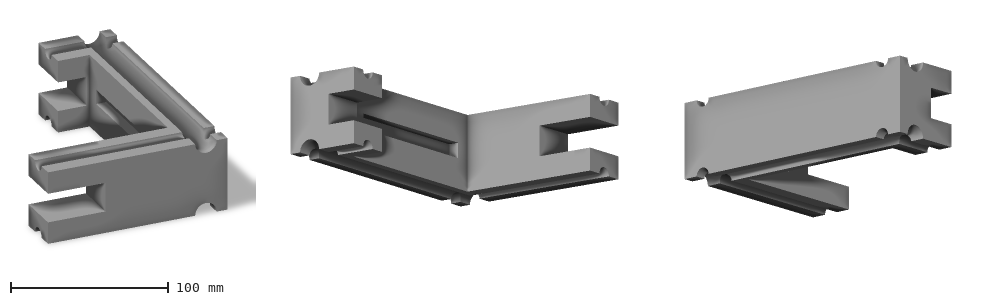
import cadquery as cq

LENGTH = 180.0
HEIGHT = 50.0
BAR_THICKNESS = 28.0
ARM_WIDTH = 30.0
SHORT_ARM_REACH = 50.0
LONG_ARM_REACH = 125.0

NOTCH_HEIGHT = 20.0
SHORT_NOTCH_DEPTH = 20.0
LONG_NOTCH_DEPTH = 40.0

BAR_GROOVE_RADIUS = 7.5
BAR_GROOVE_SETBACK = 15.0
ARM_GROOVE_RADIUS = 5.0

POCKET_LENGTH = 100.0
POCKET_HEIGHT = 10.0
POCKET_DEPTH = 7.0

LEFT_ARM_X = ARM_WIDTH / 2
RIGHT_ARM_X = LENGTH - ARM_WIDTH / 2
MID_HEIGHT = HEIGHT / 2


def make_block(x_center, y_front, size_x, size_y, size_z):
    """Block centred on x_center and mid height, reaching back from y_front."""
    block = cq.Workplane("XY").box(size_x, size_y, size_z, centered=(True, False, True))
    return block.translate((x_center, y_front, MID_HEIGHT))


def make_frame():
    """Back bar with a short arm on the left and a long arm on the right."""
    bar = make_block(LENGTH / 2, -BAR_THICKNESS, LENGTH, BAR_THICKNESS, HEIGHT)
    short_arm = make_block(LEFT_ARM_X, -SHORT_ARM_REACH, ARM_WIDTH, SHORT_ARM_REACH, HEIGHT)
    long_arm = make_block(RIGHT_ARM_X, -LONG_ARM_REACH, ARM_WIDTH, LONG_ARM_REACH, HEIGHT)
    return bar.union(short_arm).union(long_arm)


def cut_tip_notches(body):
    """Cut a notch across each arm, open at its tip."""
    short_notch = make_block(LEFT_ARM_X, -SHORT_ARM_REACH, ARM_WIDTH, SHORT_NOTCH_DEPTH, NOTCH_HEIGHT)
    long_notch = make_block(RIGHT_ARM_X, -LONG_ARM_REACH, ARM_WIDTH, LONG_NOTCH_DEPTH, NOTCH_HEIGHT)
    return body.cut(short_notch).cut(long_notch)


def cut_pocket(body):
    """Cut the blind pocket into the front face of the bar."""
    return body.cut(make_block(LENGTH / 2, -BAR_THICKNESS, POCKET_LENGTH, POCKET_DEPTH, POCKET_HEIGHT))


def cut_grooves(body):
    """Cut one groove along the bar and one along each arm, on the top and bottom faces."""
    for z in (0, HEIGHT):
        bar_groove = (
            cq.Workplane("YZ")
            .center(-BAR_GROOVE_SETBACK, z)
            .circle(BAR_GROOVE_RADIUS)
            .extrude(LENGTH)
        )
        body = body.cut(bar_groove)
        for x, reach in ((LEFT_ARM_X, SHORT_ARM_REACH), (RIGHT_ARM_X, LONG_ARM_REACH)):
            arm_groove = cq.Workplane("XZ").center(x, z).circle(ARM_GROOVE_RADIUS).extrude(reach)
            body = body.cut(arm_groove)
    return body


result = cut_grooves(cut_pocket(cut_tip_notches(make_frame())))